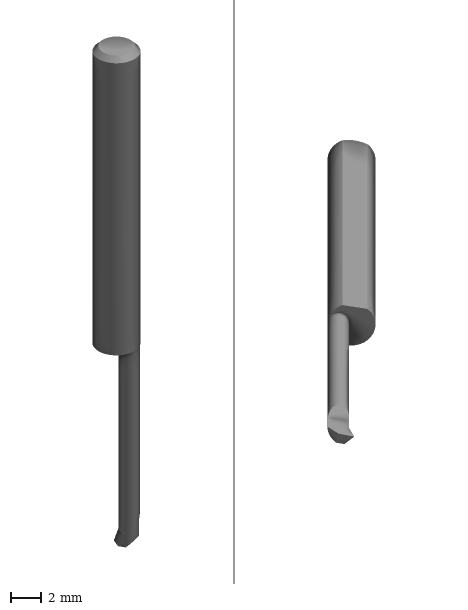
import cadquery as cq

total_length = 38.1
shank_diameter = 3.15
shank_flat_y = 1.35
shank_chamfer = 0.4
neck_length = 15.25
neck_diameter = 1.4
half_cut_height = 2.05
tooth_height = 1.15
tip_x = -0.2
back_clearance = 0.55
floor_height = 0.08
heel_height = 0.75

shank_radius = shank_diameter / 2
neck_radius = neck_diameter / 2
neck_x = shank_radius - neck_radius
neck_left = neck_x - neck_radius


def make_shank():
    shank = (
        cq.Workplane("XY", origin=(0, 0, neck_length))
        .circle(shank_radius)
        .extrude(total_length - neck_length)
        .faces(">Z")
        .chamfer(shank_chamfer)
    )
    flat_cut = cq.Workplane("XY").box(
        shank_diameter, shank_diameter, total_length, centered=(True, False, False)
    )
    return shank.cut(flat_cut.translate((0, shank_flat_y, 0)))


def make_neck():
    neck = (
        cq.Workplane("XY", origin=(neck_x, 0, floor_height))
        .circle(neck_radius)
        .extrude(neck_length - floor_height)
    )
    half_cut = (
        cq.Workplane("YZ")
        .polyline([
            (0, 0),
            (0, half_cut_height),
            (neck_diameter, half_cut_height + neck_diameter),
            (neck_diameter, 0),
        ])
        .close()
        .extrude(shank_diameter, both=True)
    )
    tooth_space = cq.Workplane("XY", origin=(neck_x - neck_diameter, -neck_diameter, 0)).box(
        neck_diameter, 2 * neck_diameter, tooth_height, centered=False
    )
    heel_cut = (
        cq.Workplane("XZ")
        .polyline([
            (neck_x, floor_height),
            (shank_radius, heel_height),
            (shank_radius, floor_height),
        ])
        .close()
        .extrude(neck_diameter, both=True)
    )
    return neck.cut(half_cut).cut(tooth_space).cut(heel_cut)


def make_tooth():
    back_top_x = neck_left + back_clearance
    back_bottom_x = tip_x + back_clearance
    return (
        cq.Workplane("XZ")
        .polyline([
            (tip_x, 0),
            (neck_left, tooth_height),
            (neck_x, tooth_height),
            (neck_x, floor_height),
        ])
        .close()
        .workplane(offset=neck_radius)
        .polyline([
            (back_bottom_x, floor_height),
            (back_top_x, tooth_height),
            (neck_x, tooth_height),
            (neck_x, floor_height),
        ])
        .close()
        .loft(ruled=True)
    )


result = make_shank().union(make_neck()).union(make_tooth())